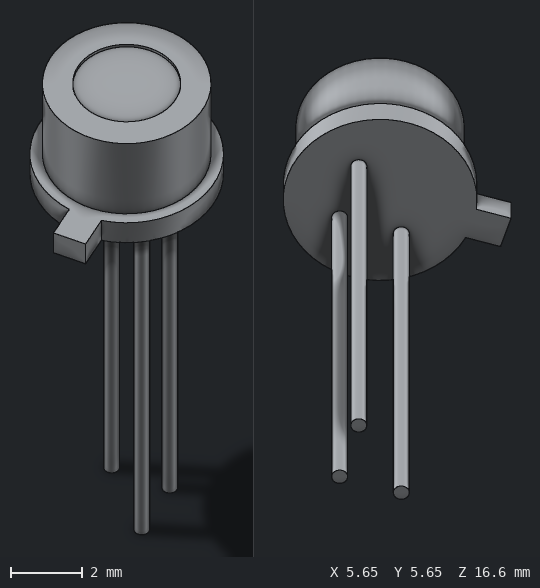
import cadquery as cq

total_height = 16.6
flange_thickness = 0.8
can_height = 2.8
lead_length = total_height - flange_thickness - can_height

flange_diameter = 5.4
can_diameter = 4.7
window_diameter = 3.0
window_depth = 0.1

tab_width = 1.0
tab_reach = 3.67
tab_angle = -45

lead_diameter = 0.45
lead_circle_radius = 2.54 / 2
lead_positions = [
    (-lead_circle_radius, 0),
    (lead_circle_radius, 0),
    (0, lead_circle_radius),
]
lead_overlap = flange_thickness / 2


def make_header():
    """Flange disc with its rectangular index tab."""
    flange = cq.Workplane("XY").circle(flange_diameter / 2).extrude(flange_thickness)
    tab = (
        cq.Workplane("XY")
        .center(tab_reach / 2, 0)
        .rect(tab_reach, tab_width)
        .extrude(flange_thickness)
        .rotate((0, 0, 0), (0, 0, 1), tab_angle)
    )
    return flange.union(tab)


def make_can():
    """Cylindrical can with a shallow round window recess in its top."""
    return (
        cq.Workplane("XY")
        .workplane(offset=flange_thickness)
        .circle(can_diameter / 2)
        .extrude(can_height)
        .faces(">Z")
        .workplane()
        .circle(window_diameter / 2)
        .cutBlind(-window_depth)
    )


def make_leads():
    """Straight leads, started inside the flange so that they fuse with it."""
    return (
        cq.Workplane("XY")
        .workplane(offset=lead_overlap)
        .pushPoints(lead_positions)
        .circle(lead_diameter / 2)
        .extrude(-(lead_length + lead_overlap))
    )


result = make_header().union(make_can()).union(make_leads())